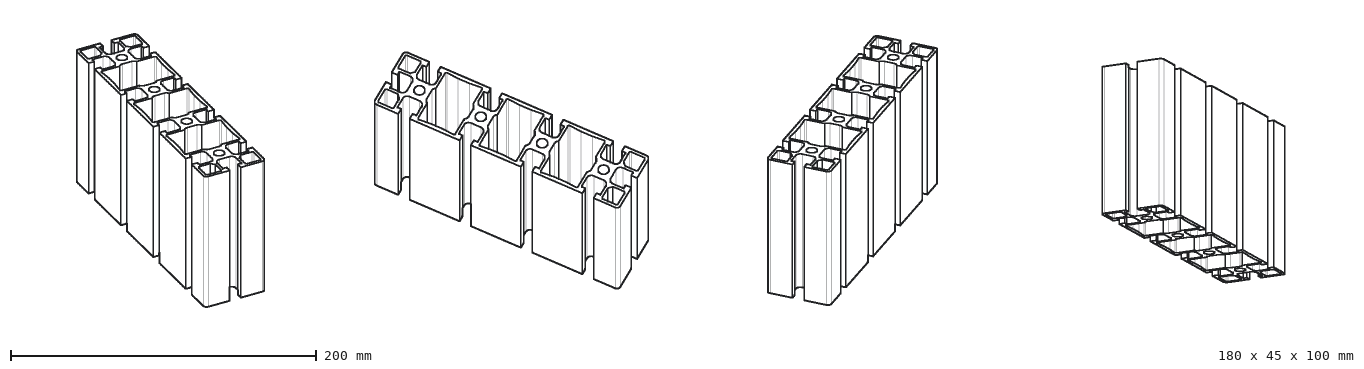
import cadquery as cq

MODULE = 45.0
MODULE_COUNT = 4
LENGTH = MODULE * MODULE_COUNT
HEIGHT = 100.0
CORNER_RADIUS = 2.5

BORE_DIAMETER = 7.2

SLOT_MOUTH = 8.3
SLOT_WIDTH = 13.9
LIP_THICKNESS = 4.3
SLOT_DEPTH = 15.3
SLOT_FLOOR_RADIUS = 3.2

WALL = 2.0
OUTER_WALL = 2.2

CELL_RADIUS = 0.9
CELL_INNER_CHAMFER = 2.5

CAVITY_RADIUS = 0.9
SKIN_EDGE_THICKNESS = 2.2
SKIN_RISE = 0.77
SKIN_FLAT_WIDTH = 8.5
RECESS_WIDTH = 13.3
RECESS_RADIUS = 3.2

HALF_MODULE = MODULE / 2
HALF_LENGTH = LENGTH / 2
MODULE_CENTERS = [(i + 0.5) * MODULE - HALF_LENGTH for i in range(MODULE_COUNT)]
CAVITY_CENTERS = [(i + 1) * MODULE - HALF_LENGTH for i in range(MODULE_COUNT - 1)]


def block(x_min, x_max, y_min, y_max):
    """Full-height rectangular block between two opposite corners."""
    return (
        cq.Workplane("XY")
        .center((x_min + x_max) / 2, (y_min + y_max) / 2)
        .rect(x_max - x_min, y_max - y_min)
        .extrude(HEIGHT)
    )


def t_slot():
    """Void of a T-slot that opens to +Y in a module centred on the origin."""
    floor = HALF_MODULE - SLOT_DEPTH
    lip = HALF_MODULE - LIP_THICKNESS
    channel = block(-SLOT_WIDTH / 2, SLOT_WIDTH / 2, floor, lip)
    channel = channel.edges("|Z and <Y").fillet(SLOT_FLOOR_RADIUS)
    mouth = block(-SLOT_MOUTH / 2, SLOT_MOUTH / 2, lip, HALF_MODULE)
    return channel.union(mouth)


def corner_cell():
    """Void of the hollow cell in the -X, +Y corner of the profile."""
    size = HALF_MODULE - SLOT_WIDTH / 2 - WALL - OUTER_WALL
    x_min = OUTER_WALL - HALF_LENGTH
    y_max = HALF_MODULE - OUTER_WALL
    cell = block(x_min, x_min + size, y_max - size, y_max)
    inner_corner = cq.selectors.NearestToPointSelector((x_min + size, y_max - size, HEIGHT / 2))
    cell = cell.edges(inner_corner).chamfer(CELL_INNER_CHAMFER)
    return cell.edges("|Z and (<X or >Y)").fillet(CELL_RADIUS)


def cavity():
    """Void between two modules, centred on the origin."""
    half_width = HALF_MODULE - SLOT_WIDTH / 2 - WALL
    y_edge = HALF_MODULE - SKIN_EDGE_THICKNESS
    y_middle = y_edge - SKIN_RISE
    half_flat = SKIN_FLAT_WIDTH / 2
    chamber = (
        cq.Workplane("XY")
        .moveTo(-half_width, -y_edge)
        .lineTo(-half_flat, -y_middle)
        .lineTo(half_flat, -y_middle)
        .lineTo(half_width, -y_edge)
        .lineTo(half_width, y_edge)
        .lineTo(half_flat, y_middle)
        .lineTo(-half_flat, y_middle)
        .lineTo(-half_width, y_edge)
        .close()
        .extrude(HEIGHT)
        .edges("|Z and (<X or >X)")
        .fillet(CAVITY_RADIUS)
    )
    recess = block(-SLOT_DEPTH, SLOT_DEPTH, -RECESS_WIDTH / 2, RECESS_WIDTH / 2)
    return chamber.union(recess.edges("|Z").fillet(RECESS_RADIUS))


profile = block(-HALF_LENGTH, HALF_LENGTH, -HALF_MODULE, HALF_MODULE)
profile = profile.edges("|Z").fillet(CORNER_RADIUS)

bores = cq.Workplane("XY").pushPoints([(x, 0) for x in MODULE_CENTERS])
result = profile.cut(bores.circle(BORE_DIAMETER / 2).extrude(HEIGHT))

slot = t_slot()
for x in MODULE_CENTERS:
    upper_slot = slot.translate((x, 0, 0))
    result = result.cut(upper_slot).cut(upper_slot.mirror("XZ"))

end_slot = slot.rotate((0, 0, 0), (0, 0, 1), 90).translate((MODULE_CENTERS[0], 0, 0))
result = result.cut(end_slot).cut(end_slot.mirror("YZ"))

cell = corner_cell()
cell_pair = cell.union(cell.mirror("XZ"))
result = result.cut(cell_pair).cut(cell_pair.mirror("YZ"))

between_modules = cavity()
for x in CAVITY_CENTERS:
    result = result.cut(between_modules.translate((x, 0, 0)))